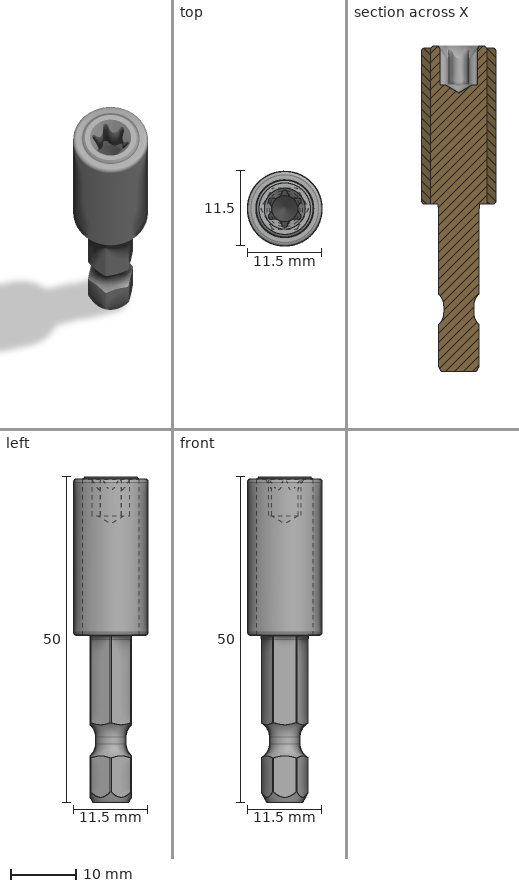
import cadquery as cq
import math

TOTAL_LENGTH = 50.0

SLEEVE_RADIUS = 5.75
SLEEVE_BOTTOM = 25.65
SLEEVE_TOP = 49.7
SLEEVE_FILLET = 0.55
MOUTH_CHAMFER = 0.1

HEAD_RADIUS = 4.35
HEAD_CHAMFER = 0.4

HEX_ACROSS_FLATS = 6.35
HEX_CORNER_RADIUS = 3.6
HEX_SIDES = 6
HEX_TURN = 30.0
TIP_RADIUS = 2.75
TIP_CHAMFER_HEIGHT = 1.6

FLARE_BOTTOM = 25.0
FLARE_ANGLE = 3.0

GROOVE_CENTER = 9.55
GROOVE_RADIUS = 2.35
GROOVE_BAND = 1.05
GROOVE_ARC_RADIUS = 2.5

LOBE_COUNT = 6
LOBE_TIP_RADIUS = 2.85
LOBE_TIP_ROUND = 0.45
LOBE_VALLEY_RADIUS = 2.0
LOBE_FIRST_ANGLE = 30.0
SOCKET_DEPTH = 6.0
COUNTERSINK_RADIUS = 3.15
COUNTERSINK_ANGLE = 60.0
DRILL_POINT_ANGLE = 118.0


def cone(base_radius, included_angle, base_z):
    """Pointed cone hanging down from base_z."""
    height = base_radius / math.tan(math.radians(included_angle / 2))
    return cq.Workplane(cq.Solid.makeCone(0, base_radius, height, cq.Vector(0, 0, base_z - height)))


def hexagon_at(height):
    """Shank hexagon with two flats facing along Y."""
    return (
        cq.Workplane("XY", origin=(0, 0, height))
        .transformed(rotate=(0, 0, HEX_TURN))
        .polygon(HEX_SIDES, HEX_ACROSS_FLATS, circumscribed=True)
    )


def make_shank():
    """Hexagonal bar with rounded corners and a conical tip, up to the flare."""
    hexagon = hexagon_at(0).extrude(FLARE_BOTTOM)
    envelope = (
        cq.Workplane("XZ")
        .polyline([
            (0, 0),
            (TIP_RADIUS, 0),
            (HEX_CORNER_RADIUS, TIP_CHAMFER_HEIGHT),
            (HEX_CORNER_RADIUS, FLARE_BOTTOM),
            (0, FLARE_BOTTOM),
        ])
        .close()
        .revolve(360, (0, 0), (0, 1))
    )
    return hexagon.intersect(envelope)


def make_flare():
    """Short stretch of the hexagon that widens slightly toward the sleeve."""
    height = SLEEVE_BOTTOM - FLARE_BOTTOM
    growth = height * math.tan(math.radians(FLARE_ANGLE))
    envelope = cq.Solid.makeCone(
        HEX_CORNER_RADIUS, HEX_CORNER_RADIUS + growth, height, cq.Vector(0, 0, FLARE_BOTTOM)
    )
    return hexagon_at(FLARE_BOTTOM).extrude(height, taper=-FLARE_ANGLE).intersect(cq.Workplane(envelope))


def make_groove_cutter():
    """Ring with a straight band flanked by two quarter-circle flares."""
    band_low = GROOVE_CENTER - GROOVE_BAND / 2
    band_high = GROOVE_CENTER + GROOVE_BAND / 2
    outer = GROOVE_RADIUS + GROOVE_ARC_RADIUS
    diagonal = GROOVE_ARC_RADIUS * math.sqrt(0.5)
    return (
        cq.Workplane("XZ")
        .moveTo(GROOVE_RADIUS, band_low)
        .lineTo(GROOVE_RADIUS, band_high)
        .threePointArc((outer - diagonal, band_high + diagonal), (outer, band_high + GROOVE_ARC_RADIUS))
        .lineTo(outer, band_low - GROOVE_ARC_RADIUS)
        .threePointArc((outer - diagonal, band_low - diagonal), (GROOVE_RADIUS, band_low))
        .close()
        .revolve(360, (0, 0), (0, 1))
    )


def make_socket_cutter():
    """Wavy six-lobed recess with a countersunk mouth and a drill-point floor."""
    tip_center = LOBE_TIP_RADIUS - LOBE_TIP_ROUND
    half_pitch = math.pi / LOBE_COUNT
    axial_reach = tip_center * math.cos(half_pitch)
    valley_round = (
        LOBE_VALLEY_RADIUS**2 + tip_center**2 - 2 * LOBE_VALLEY_RADIUS * axial_reach - LOBE_TIP_ROUND**2
    ) / (2 * (LOBE_TIP_ROUND + axial_reach - LOBE_VALLEY_RADIUS))
    valley_center = LOBE_VALLEY_RADIUS + valley_round
    share = LOBE_TIP_ROUND / (LOBE_TIP_ROUND + valley_round)
    along = tip_center + share * (valley_center * math.cos(half_pitch) - tip_center)
    across = share * valley_center * math.sin(half_pitch)
    joint_radius = math.hypot(along, across)
    joint_angle = math.atan2(across, along)

    def polar(radius, angle):
        return (radius * math.cos(angle), radius * math.sin(angle))

    first_tip = math.radians(LOBE_FIRST_ANGLE)
    floor = TOTAL_LENGTH - SOCKET_DEPTH
    outline = cq.Workplane("XY", origin=(0, 0, floor)).moveTo(*polar(joint_radius, first_tip - joint_angle))
    for lobe in range(LOBE_COUNT):
        tip = first_tip + 2 * lobe * half_pitch
        valley = tip + half_pitch
        next_tip = valley + half_pitch
        outline = outline.threePointArc(
            polar(LOBE_TIP_RADIUS, tip), polar(joint_radius, tip + joint_angle)
        ).threePointArc(
            polar(LOBE_VALLEY_RADIUS, valley), polar(joint_radius, next_tip - joint_angle)
        )
    lobes = outline.close().extrude(SOCKET_DEPTH)
    countersink = cone(COUNTERSINK_RADIUS, COUNTERSINK_ANGLE, TOTAL_LENGTH)
    drill_point = cone(LOBE_VALLEY_RADIUS, DRILL_POINT_ANGLE, floor)
    return lobes.union(countersink).union(drill_point)


def make_driver():
    head = (
        cq.Workplane("XY", origin=(0, 0, SLEEVE_BOTTOM))
        .circle(HEAD_RADIUS)
        .extrude(TOTAL_LENGTH - SLEEVE_BOTTOM)
        .faces(">Z")
        .chamfer(HEAD_CHAMFER)
    )
    grooved_shank = make_shank().cut(make_groove_cutter())
    return grooved_shank.union(make_flare()).union(head).cut(make_socket_cutter())


def make_sleeve():
    return (
        cq.Workplane("XY", origin=(0, 0, SLEEVE_BOTTOM))
        .circle(SLEEVE_RADIUS)
        .extrude(SLEEVE_TOP - SLEEVE_BOTTOM)
        .edges()
        .fillet(SLEEVE_FILLET)
        .faces(">Z")
        .workplane(origin=(0, 0, SLEEVE_TOP))
        .circle(HEAD_RADIUS)
        .cutThruAll()
        .faces(">Z")
        .edges(cq.selectors.RadiusNthSelector(0))
        .chamfer(MOUTH_CHAMFER)
    )


driver = make_driver()
sleeve = make_sleeve()

result = cq.Compound.makeCompound([driver.val(), sleeve.val()])